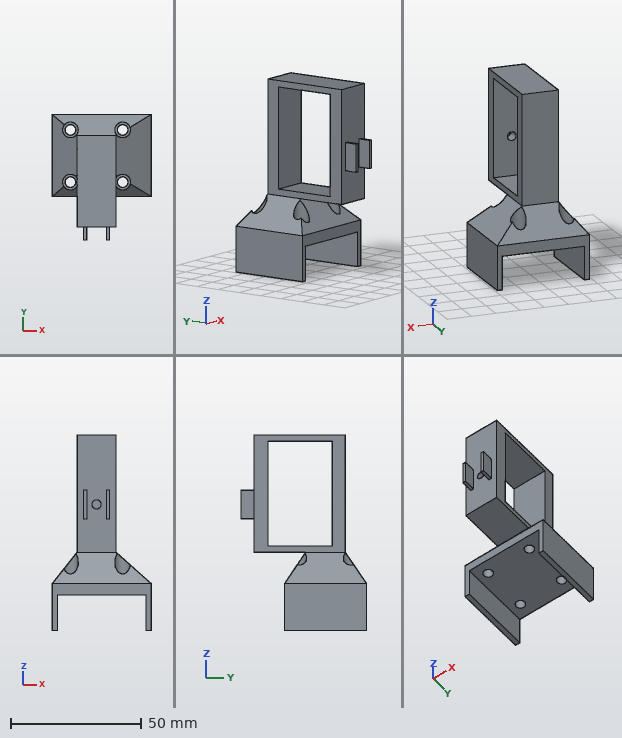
import cadquery as cq

BASE_X = 38.0
BASE_Y = 31.5
LEG_THICKNESS = 2.1
SLOT_HEIGHT = 13.6
BASE_TOP = 18.0

TOTAL_HEIGHT = 75.0
FRAME_X = 15.0
FRAME_Y = 35.0
FRAME_HEIGHT = 45.0
FRAME_LEFT = 9.5
FRAME_BACK_INSET = 8.2
WINDOW_Y = 24.5
WINDOW_HEIGHT = 40.0
WINDOW_BACK_WALL = 5.0
FRAME_BOTTOM = TOTAL_HEIGHT - FRAME_HEIGHT
FRAME_BACK = BASE_Y - FRAME_BACK_INSET
FRAME_FRONT = FRAME_BACK - FRAME_Y
FRAME_CENTER_X = FRAME_LEFT + FRAME_X / 2

NECK_TOP_Y = 15.2

SCREW_PITCH = 20.0
SCREW_DIAMETER = 4.0
COUNTERBORE_DIAMETER = 6.0
SCREW_CENTER_Y = 15.5

TAB_THICKNESS = 1.3
TAB_PITCH = 8.8
TAB_LENGTH = 5.0
TAB_HEIGHT = 11.0
TAB_CENTER_Z = 48.4
FRONT_HOLE_DIAMETER = 3.5


def block(x, y, z, size_x, size_y, size_z):
    """Box with its minimum corner at (x, y, z)."""
    return cq.Workplane("XY").box(size_x, size_y, size_z, centered=False).translate((x, y, z))


def make_base():
    slot_width = BASE_X - 2 * LEG_THICKNESS
    slot = block(LEG_THICKNESS, 0, 0, slot_width, BASE_Y, SLOT_HEIGHT)
    return block(0, 0, 0, BASE_X, BASE_Y, BASE_TOP).cut(slot)


def make_neck():
    """Off-centre pyramid frustum joining the base to the frame."""
    return (
        cq.Workplane("XY", origin=(0, 0, BASE_TOP))
        .rect(BASE_X, BASE_Y, centered=False)
        .workplane(offset=FRAME_BOTTOM - BASE_TOP)
        .moveTo(FRAME_LEFT, FRAME_BACK - NECK_TOP_Y)
        .rect(FRAME_X, NECK_TOP_Y, centered=False)
        .loft(ruled=True)
    )


def make_frame():
    window_front = FRAME_BACK - WINDOW_BACK_WALL - WINDOW_Y
    window_bottom = FRAME_BOTTOM + (FRAME_HEIGHT - WINDOW_HEIGHT) / 2
    window = block(FRAME_LEFT, window_front, window_bottom, FRAME_X, WINDOW_Y, WINDOW_HEIGHT)
    front_hole = (
        cq.Workplane("XZ", origin=(FRAME_CENTER_X, FRAME_FRONT, TAB_CENTER_Z))
        .circle(FRONT_HOLE_DIAMETER / 2)
        .extrude(FRAME_FRONT - window_front)
    )
    frame = block(FRAME_LEFT, FRAME_FRONT, FRAME_BOTTOM, FRAME_X, FRAME_Y, FRAME_HEIGHT)
    return frame.cut(window).cut(front_hole)


def make_tab(side):
    """Tab on the left (side = -1) or right (side = 1) of the front hole."""
    left = FRAME_CENTER_X + side * TAB_PITCH / 2 - TAB_THICKNESS / 2
    bottom = TAB_CENTER_Z - TAB_HEIGHT / 2
    return block(left, FRAME_FRONT - TAB_LENGTH, bottom, TAB_THICKNESS, TAB_LENGTH, TAB_HEIGHT)


def screw_cylinders(diameter, bottom):
    """Four vertical cylinders from the given height up to the underside of the frame."""
    return (
        cq.Workplane("XY", origin=(FRAME_CENTER_X, SCREW_CENTER_Y, bottom))
        .rect(SCREW_PITCH, SCREW_PITCH, forConstruction=True)
        .vertices()
        .circle(diameter / 2)
        .extrude(FRAME_BOTTOM - bottom)
    )


result = (
    make_base()
    .union(make_neck())
    .cut(screw_cylinders(SCREW_DIAMETER, 0))
    .cut(screw_cylinders(COUNTERBORE_DIAMETER, BASE_TOP))
    .union(make_frame())
    .union(make_tab(-1))
    .union(make_tab(1))
)